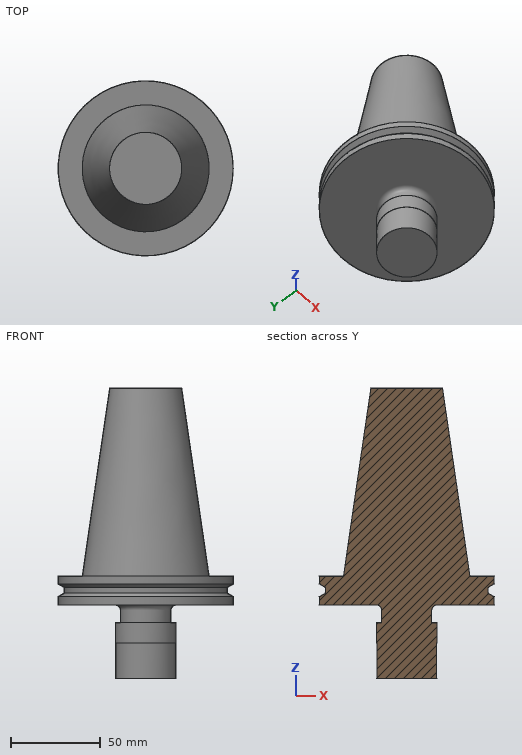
import cadquery as cq
import math

total_height = 161.8
flange_diameter = 97.5

shank_step = 19.9
shank_top = 31.2
flange_bottom = 41.0
flange_top = 57.1

taper_base_diameter = 70.7
taper_ratio = 7 / 24
taper_top_diameter = taper_base_diameter - taper_ratio * (total_height - flange_top)

shank_diameter = 33.8
shank_end_diameter = 33.6
neck_diameter = 28.1
neck_fillet = 2.9

groove_floor_diameter = 91.0
groove_center = 49.2
groove_floor_width = 3.2
groove_flank_angle = 30.0
groove_depth = (flange_diameter - groove_floor_diameter) / 2
groove_mouth_width = groove_floor_width + 2 * groove_depth * math.tan(math.radians(groove_flank_angle))


def make_body():
    """Revolve the shank, neck, flange and taper about Z."""
    fillet_outer_radius = neck_diameter / 2 + neck_fillet
    fillet_reach = neck_fillet * (1 - math.sqrt(0.5))
    fillet_midpoint = (neck_diameter / 2 + fillet_reach, flange_bottom - fillet_reach)
    return (
        cq.Workplane("XZ")
        .lineTo(shank_end_diameter / 2, 0)
        .lineTo(shank_end_diameter / 2, shank_step)
        .lineTo(shank_diameter / 2, shank_step)
        .lineTo(shank_diameter / 2, shank_top)
        .lineTo(neck_diameter / 2, shank_top)
        .lineTo(neck_diameter / 2, flange_bottom - neck_fillet)
        .threePointArc(fillet_midpoint, (fillet_outer_radius, flange_bottom))
        .lineTo(flange_diameter / 2, flange_bottom)
        .lineTo(flange_diameter / 2, flange_top)
        .lineTo(taper_base_diameter / 2, flange_top)
        .lineTo(taper_top_diameter / 2, total_height)
        .lineTo(0, total_height)
        .close()
        .revolve(360, (0, 0, 0), (0, 1, 0))
    )


def make_groove():
    """Revolve the trapezoidal ring removed from the flange rim."""
    rim = flange_diameter / 2
    floor = groove_floor_diameter / 2
    return (
        cq.Workplane("XZ")
        .moveTo(rim, groove_center - groove_mouth_width / 2)
        .lineTo(floor, groove_center - groove_floor_width / 2)
        .lineTo(floor, groove_center + groove_floor_width / 2)
        .lineTo(rim, groove_center + groove_mouth_width / 2)
        .close()
        .revolve(360, (0, 0, 0), (0, 1, 0))
    )


result = make_body().cut(make_groove())